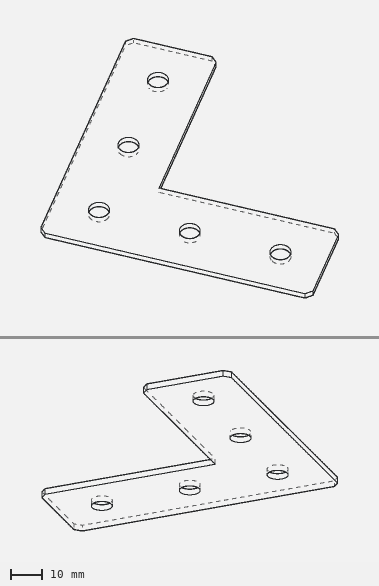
import cadquery as cq

hole_pitch = 30.0
arm_width = hole_pitch
holes_per_arm = 3
arm_length = holes_per_arm * hole_pitch
thickness = 2.0
hole_diameter = 6.6
corner_chamfer = 2.0

edge_distance = arm_width / 2


def hole_centres():
    """Hole positions along both arms; the arms share the hole in the corner."""
    stations = [edge_distance + i * hole_pitch for i in range(holes_per_arm)]
    along_x = [(x, edge_distance) for x in stations]
    along_y = [(edge_distance, y) for y in stations[1:]]
    return along_x + along_y


def l_plate():
    """L outline with its outer corner at the origin and a sharp inner corner."""
    outline = [
        (0, 0),
        (arm_length, 0),
        (arm_length, arm_width),
        (arm_width, arm_width),
        (arm_width, arm_length),
        (0, arm_length),
    ]
    return cq.Workplane("XY").polyline(outline).close().extrude(thickness)


def chamfer_outer_corners(plate):
    """Bevel every upright corner edge except the inner one."""
    inner_corner = cq.selectors.BoxSelector(
        (arm_width - corner_chamfer, arm_width - corner_chamfer, 0),
        (arm_width + corner_chamfer, arm_width + corner_chamfer, thickness),
    )
    outer_corners = cq.selectors.ParallelDirSelector(cq.Vector(0, 0, 1)) - inner_corner
    return plate.edges(outer_corners).chamfer(corner_chamfer)


def drill_holes(plate):
    """Plain through holes on the hole grid."""
    drills = cq.Workplane("XY").pushPoints(hole_centres()).circle(hole_diameter / 2).extrude(thickness)
    return plate.cut(drills)


result = drill_holes(chamfer_outer_corners(l_plate()))